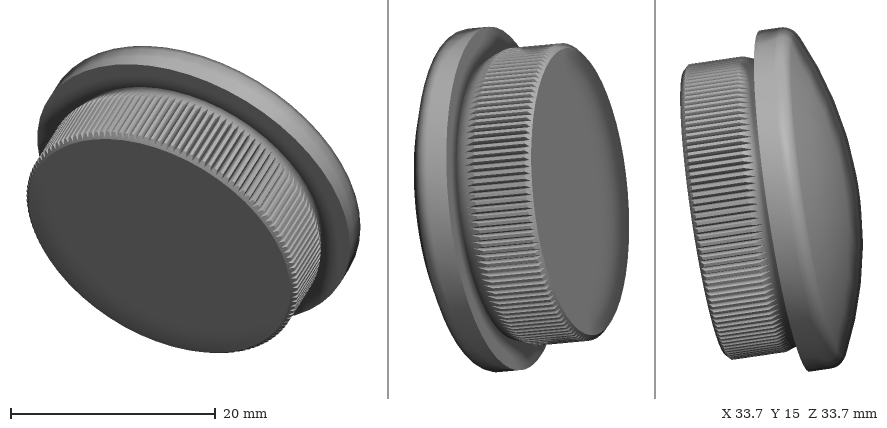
import cadquery as cq
import math

cap_diameter = 33.7
cap_wall_height = 2.1
cap_crown_height = 5.1
cap_edge_radius = 1.5

plug_diameter = 29.2
plug_length = 7.82
neck_length = 2.02
neck_taper = 20.0
end_chamfer = 0.5

groove_count = 130
groove_depth = 0.37
groove_width = 0.4
groove_length = 7.35
groove_overcut = 0.1

cap_underside = plug_length
edge_start = cap_underside + cap_wall_height
dome_top = edge_start + cap_crown_height

cap_radius = cap_diameter / 2
plug_radius = plug_diameter / 2
neck_radius = plug_radius - neck_length * math.tan(math.radians(neck_taper))

edge_center_x = cap_radius - cap_edge_radius
dome_radius = (edge_center_x**2 + cap_crown_height**2 - cap_edge_radius**2) / (
    2 * (cap_crown_height - cap_edge_radius)
)
dome_center_y = dome_top - dome_radius
tangent_angle = math.atan2(edge_start - dome_center_y, edge_center_x)


def point_on_arc(center_x, center_y, radius, angle):
    return (center_x + radius * math.cos(angle), center_y + radius * math.sin(angle))


def dome_point(angle):
    return point_on_arc(0, dome_center_y, dome_radius, angle)


def edge_point(angle):
    return point_on_arc(edge_center_x, edge_start, cap_edge_radius, angle)


def make_body():
    """Revolve the half section of cap and plug about the Y axis."""
    dome_middle_angle = (tangent_angle + math.pi / 2) / 2
    half_section = (
        cq.Workplane("XY")
        .lineTo(plug_radius - end_chamfer, 0)
        .lineTo(plug_radius, end_chamfer)
        .lineTo(plug_radius, plug_length - neck_length)
        .lineTo(neck_radius, cap_underside)
        .lineTo(cap_radius, cap_underside)
        .lineTo(cap_radius, edge_start)
        .threePointArc(edge_point(tangent_angle / 2), edge_point(tangent_angle))
        .threePointArc(dome_point(dome_middle_angle), (0, dome_top))
        .close()
    )
    return half_section.revolve(360, (0, 0, 0), (0, 1, 0))


def make_groove_cutters():
    """Triangular bars that run out on the tapered neck and leave a ridge centred on +X."""
    root_radius = plug_radius - groove_depth
    outer_radius = plug_radius + groove_overcut
    half_width = groove_width / 2 * (outer_radius - root_radius) / groove_depth
    bar = (
        cq.Workplane("XZ")
        .moveTo(root_radius, 0)
        .lineTo(outer_radius, half_width)
        .lineTo(outer_radius, -half_width)
        .close()
        .extrude(-groove_length)
        .val()
    )
    axis_start = cq.Vector(0, 0, 0)
    axis_end = cq.Vector(0, 1, 0)
    pitch_angle = 360 / groove_count
    return [bar.rotate(axis_start, axis_end, (i + 0.5) * pitch_angle) for i in range(groove_count)]


body = make_body()
result = cq.Workplane(body.val().cut(*make_groove_cutters()))